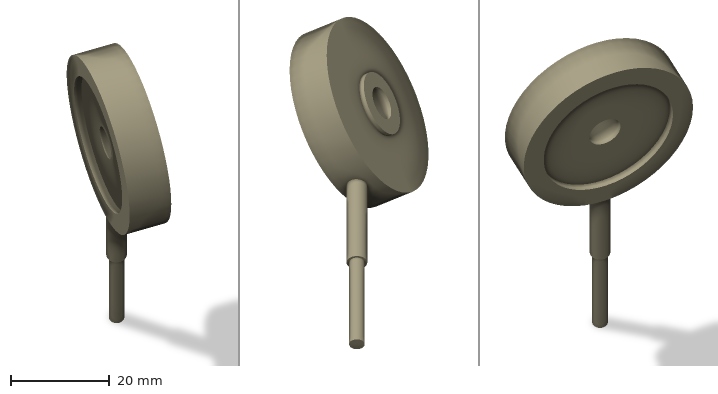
import cadquery as cq

housing_diameter = 38.0
housing_thickness = 9.0
recess_diameter = 29.0
recess_depth = 1.6
boss_diameter = 13.5
boss_height = 1.0
bore_diameter = 7.0

total_height = 79.35
cable_axis_y = 4.0
sleeve_diameter = 4.2
sleeve_length = 20.0
cable_diameter = 3.2

rim_bottom_z = -housing_diameter / 2
sleeve_end_z = rim_bottom_z - sleeve_length
cable_end_z = housing_diameter / 2 - total_height


def y_cylinder(diameter, start_y, length):
    """Cylinder on the Y axis, running toward +Y from start_y."""
    plane = cq.Workplane("XZ", origin=(0, start_y, 0))
    return plane.circle(diameter / 2).extrude(-length)


def cable_cylinder(diameter, bottom_z, top_z):
    """Vertical cylinder on the cable axis."""
    plane = cq.Workplane("XY", origin=(0, cable_axis_y, bottom_z))
    return plane.circle(diameter / 2).extrude(top_z - bottom_z)


def make_housing():
    """Disc with a recessed front, a rear boss and a through bore."""
    disc = y_cylinder(housing_diameter, 0, housing_thickness)
    boss = y_cylinder(boss_diameter, housing_thickness, boss_height)
    recess = y_cylinder(recess_diameter, 0, recess_depth)
    bore = y_cylinder(bore_diameter, 0, housing_thickness + boss_height)
    return disc.union(boss).cut(recess).cut(bore)


def make_sleeve():
    """Strain-relief sleeve whose top is shaped to the curved rim."""
    blank_top_z = rim_bottom_z + sleeve_diameter / 2
    blank = cable_cylinder(sleeve_diameter, sleeve_end_z, blank_top_z)
    return blank.cut(y_cylinder(housing_diameter, 0, housing_thickness))


def make_cable():
    """Cable running down from the end of the sleeve."""
    return cable_cylinder(cable_diameter, cable_end_z, sleeve_end_z)


housing = make_housing()
sleeve = make_sleeve()
cable = make_cable()

result = cq.Compound.makeCompound([housing.solids().val(), sleeve.solids().val(), cable.val()])